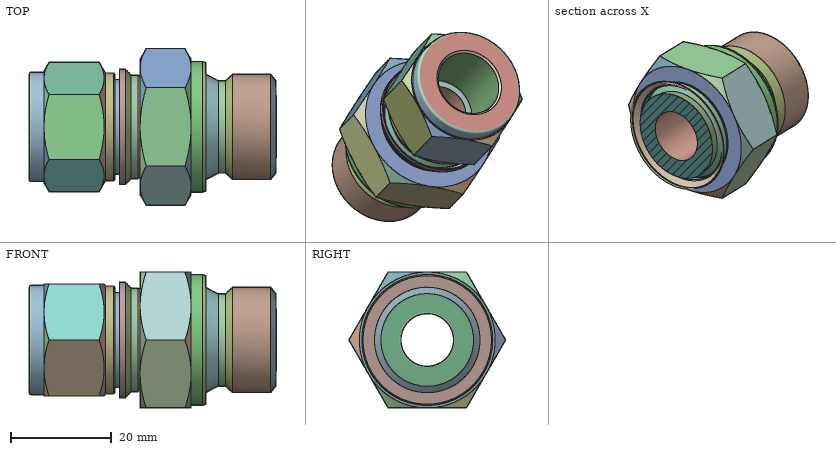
import cadquery as cq
import math

nut_hex_start_x = 2.95
nut_hex_end_x = 15.1
sleeve_bevel_x = 16.75
sleeve_end_x = 17.05
flange_start_x = 17.9
core_taper_start_x = 18.15
core_taper_end_x = 18.7
flange_rim_end_x = 19.1
flange_cone_end_x = 20.3
shank_end_x = 21.65
body_hex_start_x = 22.05
body_hex_end_x = 32.15
seat_bevel_x = 34.45
seat_end_x = 35.1
relief_start_x = 37.55
relief_end_x = 39.05
thread_start_x = 40.4
thread_bevel_x = 47.95
thread_rim_x = 49.0
overall_length = 49.1

nut_collar_dia = 21.8
sleeve_dia = 21.5
sleeve_end_dia = 20.95
gap_dia = 18.9
flange_dia = 23.0
flange_recess_dia = 22.6
shank_recess_dia = 20.15
recess_core_dia = 17.7
shank_dia = 20.6
shank_step_dia = 20.4
seat_dia = 26.0
seat_end_dia = 25.55
seat_cone_dia = 20.95
relief_dia = 18.4
thread_dia = 20.95
thread_rim_dia = 18.4
thread_tip_dia = 10.95

nut_collar_radius = 0.45

nut_across_flats = 22.3
body_across_flats = 27.0
corner_bevel_angle = 30.0

through_dia = 10.4
tube_socket_dia = 12.9
socket_mouth_dia = 13.75
socket_depth = nut_hex_end_x
socket_bevel = (socket_mouth_dia - tube_socket_dia) / 2


def revolve_about_x(stations):
    """Solid of revolution through (x, diameter) stations, closed along the X axis."""
    first_x = stations[0][0]
    last_x = stations[-1][0]
    outline = [(first_x, 0)] + [(x, dia / 2) for x, dia in stations] + [(last_x, 0)]
    return cq.Workplane("XY").polyline(outline).close().revolve(360, (0, 0, 0), (1, 0, 0))


def beveled_hex(start_x, end_x, across_flats, start_dia, end_dia):
    """Hexagon with corners along Y, its corners turned to a cone at each end."""
    corner_dia = across_flats / math.cos(math.radians(30))
    slope = math.tan(math.radians(corner_bevel_angle))
    start_bevel = (corner_dia - start_dia) / 2 * slope
    end_bevel = (corner_dia - end_dia) / 2 * slope
    prism = (
        cq.Workplane("YZ")
        .workplane(offset=start_x)
        .polygon(6, corner_dia)
        .extrude(end_x - start_x)
    )
    envelope = revolve_about_x([
        (start_x, start_dia),
        (start_x + start_bevel, corner_dia),
        (end_x - end_bevel, corner_dia),
        (end_x, end_dia),
    ])
    return prism.intersect(envelope)


turned_body = revolve_about_x([
    (0, nut_collar_dia),
    (nut_hex_start_x, nut_collar_dia),
    (nut_hex_start_x, sleeve_dia),
    (sleeve_bevel_x, sleeve_dia),
    (sleeve_end_x, sleeve_end_dia),
    (sleeve_end_x, gap_dia),
    (core_taper_start_x, gap_dia),
    (core_taper_end_x, recess_core_dia),
    (flange_cone_end_x, recess_core_dia),
    (shank_end_x, shank_recess_dia),
    (flange_cone_end_x, shank_recess_dia),
    (flange_rim_end_x, flange_recess_dia),
    (flange_start_x, flange_recess_dia),
    (flange_start_x, flange_dia),
    (flange_rim_end_x, flange_dia),
    (flange_cone_end_x, shank_dia),
    (shank_end_x, shank_dia),
    (shank_end_x, shank_step_dia),
    (body_hex_start_x, shank_step_dia),
    (body_hex_start_x, seat_dia),
    (seat_bevel_x, seat_dia),
    (seat_end_x, seat_end_dia),
    (seat_end_x, seat_cone_dia),
    (relief_start_x, relief_dia),
    (relief_end_x, relief_dia),
    (thread_start_x, thread_dia),
    (thread_bevel_x, thread_dia),
    (thread_rim_x, thread_rim_dia),
    (overall_length, thread_tip_dia),
]).faces("<X").edges().fillet(nut_collar_radius)

nut_hex = beveled_hex(nut_hex_start_x, nut_hex_end_x, nut_across_flats, nut_across_flats, sleeve_dia)
body_hex = beveled_hex(
    body_hex_start_x, body_hex_end_x, body_across_flats, body_across_flats, body_across_flats
)

bore = revolve_about_x([
    (0, socket_mouth_dia),
    (socket_bevel, tube_socket_dia),
    (socket_depth, tube_socket_dia),
    (socket_depth, through_dia),
    (overall_length, through_dia),
])

result = turned_body.union(nut_hex).union(body_hex).cut(bore)